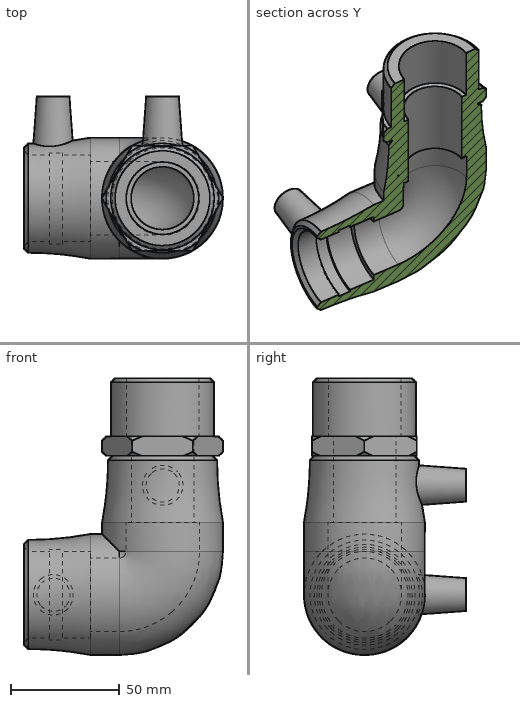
import cadquery as cq
import math

arm_length = 64.0
body_radius = 28.0
bend_radius = 20.0
barrel_start = 33.3
mouth_radius = 25.3
edge_chamfer = 2.0

bend_bore_radius = 17.0
socket_radius = 20.0
groove_radius = 21.0
groove_outer_end = 52.2
groove_width = 6.0

hex_corner_radius = 56.0 / 2
hex_thickness = 9.0
nipple_radius = 47.8 / 2
nipple_top = 100.0
nipple_bore_radius = 33.46 / 2
nipple_throat_radius = 29.0 / 2

stud_distance = 50.5
stud_end_y = 47.0
stud_root_y = 21.0
stud_end_radius = 7.65
stud_half_angle = 4.2

chamfer_start = arm_length - edge_chamfer
hex_top = arm_length + hex_thickness


def cylinder(radius, start, end):
    """Upright cylinder on the Z axis between two heights."""
    return cq.Workplane("XY").workplane(offset=start).circle(radius).extrude(end - start)


def lay_down(upright):
    """Turn a shape built along +Z so that it lies along -X."""
    return upright.rotate((0, 0, 0), (0, 1, 0), -90)


def arm():
    """Solid upright arm whose barrel arc leaves the mouth chamfer parallel to the axis."""
    barrel_length = chamfer_start - barrel_start
    barrel_rise = body_radius - mouth_radius
    arc_radius = (barrel_length**2 + barrel_rise**2) / (2 * barrel_rise)
    half_angle = math.asin(barrel_length / arc_radius) / 2
    arc_middle = (
        mouth_radius + arc_radius * (1 - math.cos(half_angle)),
        chamfer_start - arc_radius * math.sin(half_angle),
    )
    return (
        cq.Workplane("XZ")
        .moveTo(0, bend_radius)
        .lineTo(body_radius, bend_radius)
        .lineTo(body_radius, barrel_start)
        .threePointArc(arc_middle, (mouth_radius, chamfer_start))
        .lineTo(mouth_radius - edge_chamfer, arm_length)
        .lineTo(0, arm_length)
        .close()
        .revolve(360, (0, 0, 0), (0, 1, 0))
    )


def bend_plane():
    """Plane across an upright arm where the bend begins; the bend axis is at x = bend_radius."""
    return cq.Workplane("XY").workplane(offset=bend_radius)


def bend_sweep(section):
    """Sweep a section from the end of the flat arm a quarter turn up into the upright arm."""
    return lay_down(section.revolve(90, (bend_radius, 1, 0), (bend_radius, 0, 0)))


def bend_outside():
    """Quarter bend; its section is cut off at the bend axis, which lies inside the tube."""
    half_chord = math.sqrt(body_radius**2 - bend_radius**2)
    section = (
        bend_plane()
        .moveTo(bend_radius, -half_chord)
        .threePointArc((-body_radius, 0), (bend_radius, half_chord))
        .close()
    )
    return bend_sweep(section)


def stud():
    """Cone frustum along +Y on the Y axis, narrowing to its free end."""
    stud_length = stud_end_y - stud_root_y
    root_radius = stud_end_radius + stud_length * math.tan(math.radians(stud_half_angle))
    frustum = cq.Solid.makeCone(
        root_radius, stud_end_radius, stud_length, cq.Vector(0, stud_root_y, 0), cq.Vector(0, 1, 0)
    )
    return cq.Workplane(frustum)


def hexagon():
    """Hexagon with two corners on the X axis and its corners chamfered at both ends."""
    prism = (
        cq.Workplane("XY")
        .workplane(offset=arm_length)
        .polygon(6, 2 * hex_corner_radius)
        .extrude(hex_thickness)
    )
    turned_blank = cylinder(hex_corner_radius, arm_length, hex_top).edges().chamfer(edge_chamfer)
    return prism.intersect(turned_blank)


def nipple():
    return cylinder(nipple_radius, hex_top, nipple_top).faces(">Z").edges().chamfer(edge_chamfer)


def upright_passage():
    """Nipple bore, narrower throat down through the arm, then the full bore into the bend."""
    bore = cylinder(nipple_bore_radius, hex_top, nipple_top)
    throat = cylinder(nipple_throat_radius, barrel_start, hex_top)
    return bore.union(throat).union(cylinder(bend_bore_radius, bend_radius, barrel_start))


def socket_passage():
    """Upright shape of the open arm's passage: bore, socket, entry chamfer and groove."""
    socket = cylinder(socket_radius, barrel_start, arm_length)
    entry = cq.Workplane(
        cq.Solid.makeCone(
            socket_radius, socket_radius + edge_chamfer, edge_chamfer, cq.Vector(0, 0, chamfer_start)
        )
    )
    groove = cylinder(groove_radius, groove_outer_end - groove_width, groove_outer_end)
    bore = cylinder(bend_bore_radius, bend_radius, barrel_start)
    return bore.union(socket).union(entry).union(groove)


body = bend_outside().union(arm()).union(lay_down(arm())).union(hexagon()).union(nipple())
for stud_x, stud_z in ((-stud_distance, 0), (0, stud_distance)):
    body = body.union(stud().translate((stud_x, 0, stud_z)))

bend_bore = bend_sweep(bend_plane().circle(bend_bore_radius))
result = body.cut(bend_bore).cut(upright_passage()).cut(lay_down(socket_passage()))